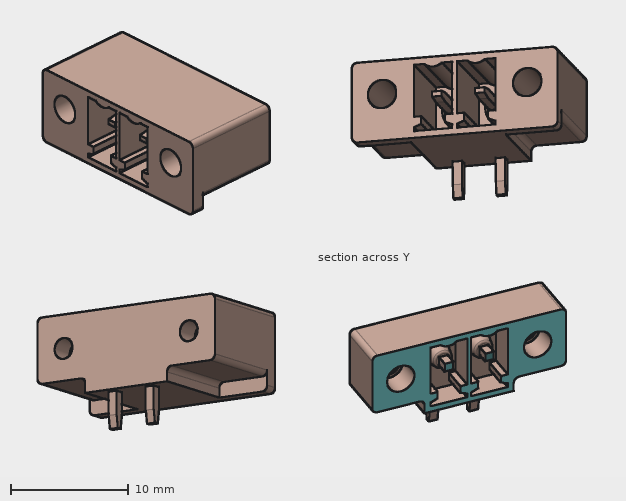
import cadquery as cq
import math


length = 18.21
depth = 9.2
height = 7.1
edge_radius = 0.5

pitch = 3.8
contact_xs = [-pitch / 2, pitch / 2]
contact_z = 4.13

wall = 0.6
pocket_width = 3.39
pocket_top = height - wall
rear_wall = 2.3
pocket_depth = depth - rear_wall
rib_width = 0.64
rib_top = 1.88
rib_bevel_top = 1.18
rib_bevel_bottom = 0.93
key_half_width = 0.78
key_height = 0.3

collar_base_radius = 1.11
collar_tip_radius = 0.84
collar_length = 1.18
collar_round = 0.22

screw_spacing = 12.84
screw_diameter = 1.82
counterbore_diameter = 2.51

flange_thickness = 1.22
overhang_z = 1.31
foot_half_length = (pitch + pocket_width) / 2 + wall

pin_size = 0.82
pin_tip_y = 1.17
back_cover = 0.76
pin_back_y = depth - back_cover
pin_front_y = pin_back_y - pin_size
pin_below = 3.2
taper_length = 1.15
taper_inset = 0.18


def make_block():
    """Plain block with its four long edges rounded."""
    block = cq.Workplane("XY").box(length, depth, height, centered=(True, False, False))
    return block.edges("|Y").fillet(edge_radius)


def make_end_cutout(side):
    """Cutter under one end, its roof rounded over the outside and filleted into the foot."""
    outer_x = side * length / 2
    inner_x = side * foot_half_length
    bend = edge_radius * math.sin(math.radians(45))
    return (
        cq.Workplane("XZ", origin=(0, flange_thickness, 0))
        .moveTo(outer_x, 0)
        .lineTo(outer_x, overhang_z + edge_radius)
        .threePointArc(
            (outer_x - side * (edge_radius - bend), overhang_z + edge_radius - bend),
            (outer_x - side * edge_radius, overhang_z),
        )
        .lineTo(inner_x + side * edge_radius, overhang_z)
        .threePointArc(
            (inner_x + side * (edge_radius - bend), overhang_z - edge_radius + bend),
            (inner_x, overhang_z - edge_radius),
        )
        .lineTo(inner_x, 0)
        .close()
        .extrude(-(depth - flange_thickness))
    )


def make_pocket(x):
    """Cutter for one pocket: ribs low on both sides, rounded key in the roof."""
    half = pocket_width / 2
    neck = half - rib_width
    return (
        cq.Workplane("XZ", origin=(x, 0, 0))
        .moveTo(-half, wall)
        .lineTo(half, wall)
        .lineTo(half, rib_bevel_bottom)
        .lineTo(neck, rib_bevel_top)
        .lineTo(neck, rib_top)
        .lineTo(half, rib_top)
        .lineTo(half, pocket_top)
        .lineTo(key_half_width, pocket_top)
        .threePointArc((0, pocket_top - key_height), (-key_half_width, pocket_top))
        .lineTo(-half, pocket_top)
        .lineTo(-half, rib_top)
        .lineTo(-neck, rib_top)
        .lineTo(-neck, rib_bevel_top)
        .lineTo(-half, rib_bevel_bottom)
        .close()
        .extrude(-pocket_depth)
    )


def make_collar(x):
    """Tapered collar rising from the pocket floor toward the front, its nose rounded."""
    cone = cq.Solid.makeCone(
        collar_base_radius,
        collar_tip_radius,
        collar_length,
        cq.Vector(x, pocket_depth, contact_z),
        cq.Vector(0, -1, 0),
    )
    return cq.Workplane(cone).faces("<Y").edges().fillet(collar_round)


def make_screw_hole(x):
    """Through hole with a deep counterbore from the front."""
    start = cq.Workplane("XZ", origin=(x, 0, contact_z))
    through = start.circle(screw_diameter / 2).extrude(-depth)
    counterbore = start.circle(counterbore_diameter / 2).extrude(-pocket_depth)
    return through.union(counterbore)


def make_pin(x):
    """Square wire bent down at the back, both ends tapered on two sides."""
    half = pin_size / 2
    pin_top = contact_z + half
    pin_bottom = contact_z - half
    return (
        cq.Workplane("YZ", origin=(x - half, 0, 0))
        .moveTo(pin_tip_y, pin_top - taper_inset)
        .lineTo(pin_tip_y + taper_length, pin_top)
        .lineTo(pin_back_y, pin_top)
        .lineTo(pin_back_y, taper_length - pin_below)
        .lineTo(pin_back_y - taper_inset, -pin_below)
        .lineTo(pin_front_y + taper_inset, -pin_below)
        .lineTo(pin_front_y, taper_length - pin_below)
        .lineTo(pin_front_y, pin_bottom)
        .lineTo(pin_tip_y + taper_length, pin_bottom)
        .lineTo(pin_tip_y, pin_bottom + taper_inset)
        .close()
        .extrude(pin_size)
    )


def make_housing(pins):
    """Housing with a matching passage for every pin."""
    body = make_block()
    for side in (-1, 1):
        body = body.cut(make_end_cutout(side))
        body = body.cut(make_screw_hole(side * screw_spacing / 2))
    for x in contact_xs:
        body = body.cut(make_pocket(x)).union(make_collar(x))
    for pin in pins:
        body = body.cut(pin)
    return body


pins = [make_pin(x) for x in contact_xs]
housing = make_housing(pins)

result = cq.Compound.makeCompound([housing.solids().val(), *[pin.val() for pin in pins]])